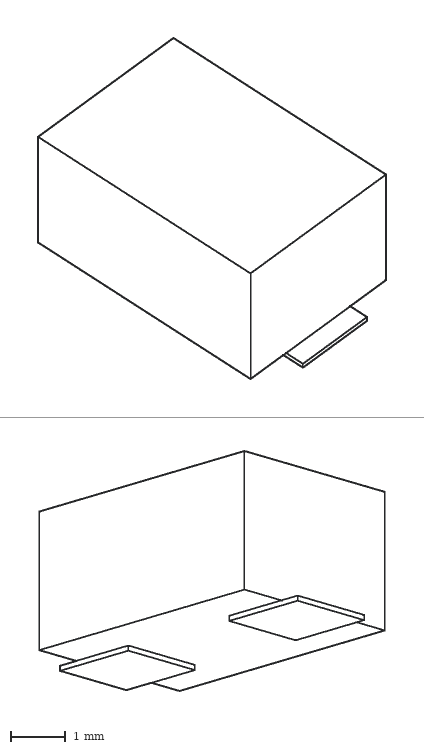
import cadquery as cq

overall_length = 6.17
overall_height = 2.75

housing_length = 5.33
housing_width = 3.62

terminal_length = 1.78
terminal_width = 1.715
terminal_thickness = 0.1

housing_height = overall_height - terminal_thickness
terminal_center_x = (overall_length - terminal_length) / 2


def make_housing():
    """Plain block resting on top of the terminals."""
    return (
        cq.Workplane("XY")
        .workplane(offset=terminal_thickness)
        .box(housing_length, housing_width, housing_height, centered=(True, True, False))
    )


def make_terminal(side):
    """Flat plate at one end; side is -1 for the -X end and +1 for the +X end."""
    return (
        cq.Workplane("XY")
        .center(side * terminal_center_x, 0)
        .box(terminal_length, terminal_width, terminal_thickness, centered=(True, True, False))
    )


housing = make_housing()
terminals = [make_terminal(side) for side in (-1, 1)]

result = cq.Compound.makeCompound([housing.val(), *[terminal.val() for terminal in terminals]])